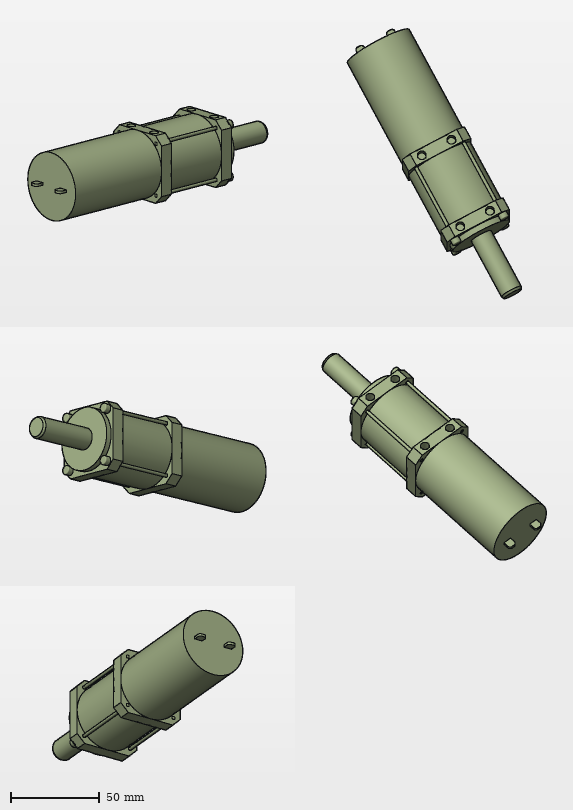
import cadquery as cq

SIZE = 40.0
FLANGE_THICK = 7.7
FLANGE_CHAMFER = 5.0
REAR_FLANGE_Y = 66.5
FRONT_FLANGE_Y = 112.9
BOSS_DIAMETER = 36.7
BOSS_LENGTH = 3.5
SHAFT_DIAMETER = 12.9
SHAFT_TIP_Y = 162.0
TIP_CHAMFER_LENGTH = 1.5
TIP_CHAMFER_DEPTH = 0.8

MOUNT_HOLE_DIAMETER = 5.0
MOUNT_HOLE_DEPTH = 6.7
MOUNT_HOLE_X = 9.5

TAB_X = 9.9
TAB_WIDTH = 5.0
TAB_THICK = 1.5
TAB_LENGTH = 5.0
TAB_FILLET = 1.7

BOLT_OFFSET = 15.4
BOLT_DIAMETER = 2.0
HEAD_DIAMETER = 5.3
HEAD_FILLET = 0.5

FRONT_FACE_Y = FRONT_FLANGE_Y + FLANGE_THICK
BOSS_FACE_Y = FRONT_FACE_Y + BOSS_LENGTH
BOLT_POINTS = [(x, z) for x in (-BOLT_OFFSET, BOLT_OFFSET) for z in (-BOLT_OFFSET, BOLT_OFFSET)]


def rod(diameter, start_y, end_y, x=0, z=0):
    """Cylinder parallel to Y between two Y positions."""
    length = end_y - start_y
    axis = cq.Vector(0, 1, 0)
    return cq.Workplane(cq.Solid.makeCylinder(diameter / 2, length, cq.Vector(x, start_y, z), axis))


def make_flange(start_y):
    """Square plate with chamfered corners."""
    plate = cq.Workplane("XY").box(SIZE, FLANGE_THICK, SIZE).edges("|Y").chamfer(FLANGE_CHAMFER)
    return plate.translate((0, start_y + FLANGE_THICK / 2, 0))


def cut_mount_holes(body, start_y):
    """Blind holes going down from the top of a flange."""
    centre_y = start_y + FLANGE_THICK / 2
    holes = (
        cq.Workplane("XY", origin=(0, centre_y, SIZE / 2))
        .pushPoints([(-MOUNT_HOLE_X, 0), (MOUNT_HOLE_X, 0)])
        .circle(MOUNT_HOLE_DIAMETER / 2)
        .extrude(-MOUNT_HOLE_DEPTH)
    )
    return body.cut(holes)


def make_shaft():
    """Output shaft with a chamfered tip."""
    radius = SHAFT_DIAMETER / 2
    return (
        cq.Workplane("XY")
        .moveTo(0, FRONT_FACE_Y)
        .lineTo(radius, FRONT_FACE_Y)
        .lineTo(radius, SHAFT_TIP_Y - TIP_CHAMFER_LENGTH)
        .lineTo(radius - TIP_CHAMFER_DEPTH, SHAFT_TIP_Y)
        .lineTo(0, SHAFT_TIP_Y)
        .close()
        .revolve(360, (0, 0), (0, 1))
    )


def make_tab(x):
    """Flat terminal on the rear face, with rounded end corners."""
    return (
        cq.Workplane("XY")
        .box(TAB_WIDTH, TAB_LENGTH, TAB_THICK)
        .edges("|Z and <Y")
        .fillet(TAB_FILLET)
        .translate((x, -TAB_LENGTH / 2, 0))
    )


def make_motor():
    """Can, flanges, boss, shaft and terminals as one solid, with holes for the bolts."""
    body = rod(SIZE, 0, FRONT_FACE_Y)
    for flange_y in (REAR_FLANGE_Y, FRONT_FLANGE_Y):
        body = body.union(make_flange(flange_y))
    body = body.union(rod(BOSS_DIAMETER, FRONT_FACE_Y, BOSS_FACE_Y))
    body = body.union(make_shaft())
    for x in (-TAB_X, TAB_X):
        body = body.union(make_tab(x))
    for flange_y in (REAR_FLANGE_Y, FRONT_FLANGE_Y):
        body = cut_mount_holes(body, flange_y)
    for x, z in BOLT_POINTS:
        body = body.cut(rod(BOLT_DIAMETER, REAR_FLANGE_Y, FRONT_FACE_Y, x, z))
    return body


def make_bolt(x, z):
    """Long bolt through both flanges, its head on the front flange."""
    head = rod(HEAD_DIAMETER, FRONT_FACE_Y, BOSS_FACE_Y, x, z).faces(">Y").edges().fillet(HEAD_FILLET)
    return head.union(rod(BOLT_DIAMETER, REAR_FLANGE_Y, FRONT_FACE_Y, x, z))


motor = make_motor()
bolts = [make_bolt(x, z) for x, z in BOLT_POINTS]

result = cq.Compound.makeCompound([motor.val(), *[bolt.val() for bolt in bolts]])